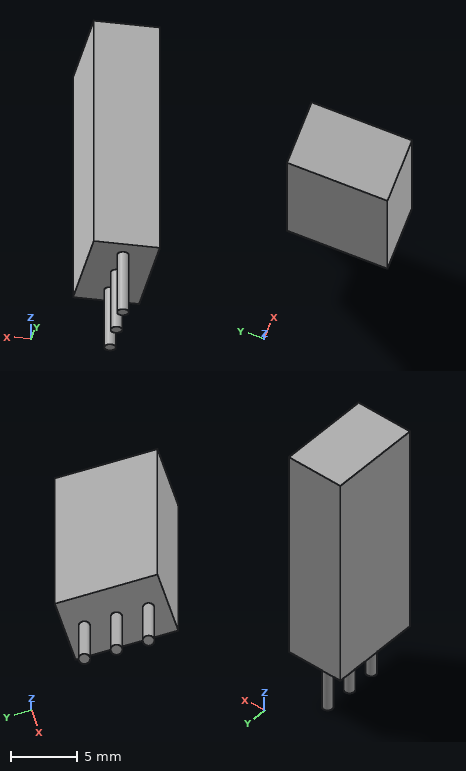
import cadquery as cq

total_height = 24.65
body_width = 5.08
body_depth = 8.15

pin_count = 3
pin_diameter = 0.9
pin_length = 5.08
pin_pitch = 2.55

body_height = total_height - pin_length


def make_body():
    """Rectangular block standing on the XY plane."""
    return cq.Workplane("XY").box(body_width, body_depth, body_height, centered=(True, True, False))


def make_pin(y):
    """Round pin hanging down from the underside of the body."""
    return cq.Workplane("XY").center(0, y).circle(pin_diameter / 2).extrude(-pin_length)


body = make_body()

first_pin_y = -pin_pitch * (pin_count - 1) / 2
pins = []
for index in range(pin_count):
    pins.append(make_pin(first_pin_y + index * pin_pitch).val())

result = cq.Compound.makeCompound([body.val(), *pins])